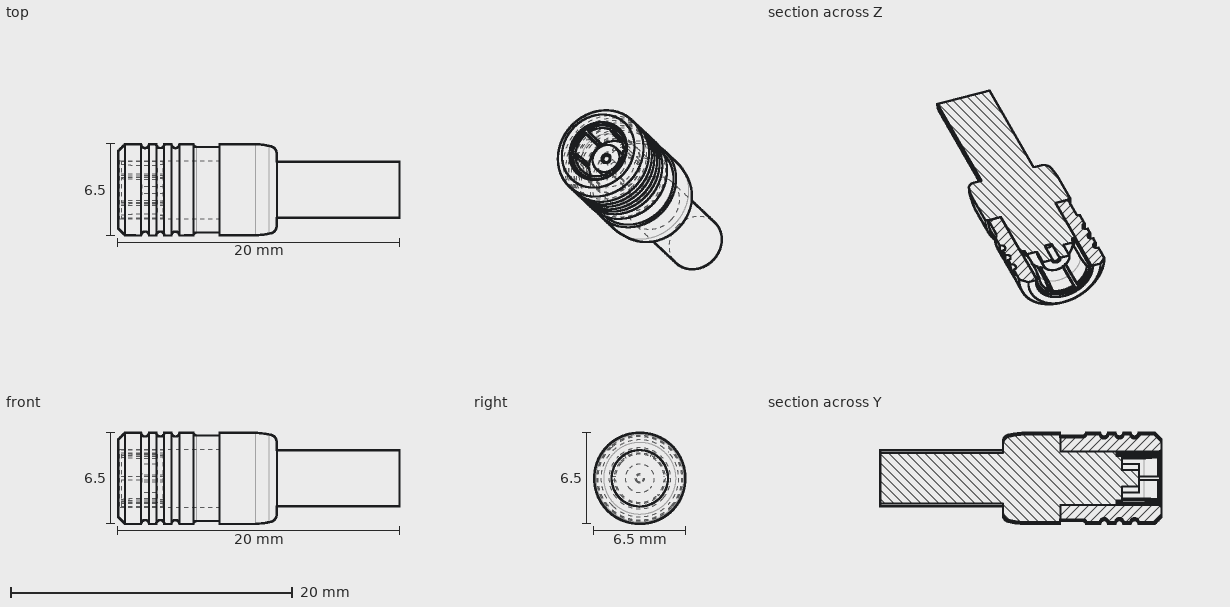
import cadquery as cq

TOTAL_LENGTH = 19.97
OUTER_RADIUS = 6.5 / 2

SLEEVE_LENGTH = 7.19
NOSE_CHAMFER = 0.5
MOUTH_RADIUS = 2.18
BORE_RADIUS = 4.11 / 2
MOUTH_CHAMFER = MOUTH_RADIUS - BORE_RADIUS
NECK_RADIUS = 6.1 / 2
NECK_START = 5.35
NECK_FILLET = OUTER_RADIUS - NECK_RADIUS
GROOVE_RADIUS = 0.28
GROOVE_COUNT = 3
FIRST_GROOVE_X = 1.92
GROOVE_PITCH = 1.08

FINGER_TIP_X = 0.24
FINGER_OUTER_RADIUS = 4.01 / 2
FINGER_TIP_RADIUS = 3.61 / 2
FINGER_BORE_RADIUS = 1.72
FINGER_TAPER_LENGTH = 1
SOCKET_FLOOR_X = 2.8
SLOT_WIDTH = 0.25
SLOT_COUNT = 6
SLOT_OVERRUN = 0.4
SLOT_END_X = SOCKET_FLOOR_X + SLOT_OVERRUN
BOSS_RADIUS = 2.04 / 2
BOSS_FACE_X = 1.6
CONTACT_HOLE_RADIUS = 0.5 / 2
COUNTERBORE_RADIUS = 0.65 / 2
COUNTERBORE_DEPTH = 0.1
CONTACT_HOLE_DEPTH = 1.6
COLLAR_END_X = 11.26
COLLAR_TAPER_X = 9.77
COLLAR_ROUND_X = 10.72
COLLAR_ROUND_RADIUS = 3.12
COLLAR_END_RADIUS = 2.55
TUBE_RADIUS = 4 / 2


def cylinder(start, end, radius):
    """Solid cylinder on the connector axis."""
    return cq.Workplane("YZ", origin=(start, 0, 0)).circle(radius).extrude(end - start)


def revolve_profile(profile):
    """Turn a closed (x, radius) outline about the connector axis."""
    return profile.close().revolve(360, (0, 0, 0), (1, 0, 0))


def make_sleeve():
    """Grip sleeve with a chamfered nose, rounded grooves and a reduced rear neck."""
    sleeve = revolve_profile(
        cq.Workplane("XY")
        .moveTo(0, MOUTH_RADIUS)
        .lineTo(0, OUTER_RADIUS - NOSE_CHAMFER)
        .lineTo(NOSE_CHAMFER, OUTER_RADIUS)
        .lineTo(NECK_START, OUTER_RADIUS)
        .radiusArc((NECK_START + NECK_FILLET, NECK_RADIUS), -NECK_FILLET)
        .lineTo(SLEEVE_LENGTH, NECK_RADIUS)
        .lineTo(SLEEVE_LENGTH, BORE_RADIUS)
        .lineTo(MOUTH_CHAMFER, BORE_RADIUS)
    )
    for index in range(GROOVE_COUNT):
        groove_x = FIRST_GROOVE_X + index * GROOVE_PITCH
        groove = cq.Solid.makeTorus(
            OUTER_RADIUS, GROOVE_RADIUS, cq.Vector(groove_x, 0, 0), cq.Vector(1, 0, 0)
        )
        sleeve = sleeve.cut(cq.Workplane(obj=groove))
    return sleeve


def make_collar():
    """Rear collar whose back edge curves in and rounds over to the end face."""
    taper_run = COLLAR_ROUND_X - COLLAR_TAPER_X
    taper_drop = OUTER_RADIUS - COLLAR_ROUND_RADIUS
    taper_arc_radius = (taper_run**2 + taper_drop**2) / (2 * taper_drop)
    end_arc_radius = COLLAR_ROUND_RADIUS - COLLAR_END_RADIUS
    return revolve_profile(
        cq.Workplane("XY")
        .moveTo(SLEEVE_LENGTH, 0)
        .lineTo(SLEEVE_LENGTH, OUTER_RADIUS)
        .lineTo(COLLAR_TAPER_X, OUTER_RADIUS)
        .radiusArc((COLLAR_ROUND_X, COLLAR_ROUND_RADIUS), taper_arc_radius)
        .radiusArc((COLLAR_END_X, COLLAR_END_RADIUS), end_arc_radius)
        .lineTo(COLLAR_END_X, 0)
    )


def make_fingers():
    """Tapered-bore tube that the slots divide into spring fingers."""
    return revolve_profile(
        cq.Workplane("XY")
        .moveTo(FINGER_TIP_X, FINGER_TIP_RADIUS)
        .lineTo(FINGER_TIP_X, FINGER_OUTER_RADIUS)
        .lineTo(SLOT_END_X, FINGER_OUTER_RADIUS)
        .lineTo(SLOT_END_X, FINGER_BORE_RADIUS)
        .lineTo(FINGER_TIP_X + FINGER_TAPER_LENGTH, FINGER_BORE_RADIUS)
    )


def make_slots():
    """Cutter for the slots, which run past the socket floor around its central disc."""
    slots = cq.Workplane("YZ", origin=(FINGER_TIP_X, 0, 0))
    for index in range(SLOT_COUNT // 2):
        slot = (
            cq.Workplane("YZ", origin=(FINGER_TIP_X, 0, 0))
            .rect(FINGER_OUTER_RADIUS * 2, SLOT_WIDTH)
            .extrude(SLOT_END_X - FINGER_TIP_X)
            .rotate((0, 0, 0), (1, 0, 0), index * 360 / SLOT_COUNT)
        )
        slots = slots.union(slot)
    floor_disc = cylinder(SOCKET_FLOOR_X, SLOT_END_X, FINGER_TIP_RADIUS)
    return slots.cut(floor_disc)


def make_contact_hole():
    """Cutter for the counterbored contact hole in the boss face."""
    counterbore = cylinder(BOSS_FACE_X, BOSS_FACE_X + COUNTERBORE_DEPTH, COUNTERBORE_RADIUS)
    hole = cylinder(BOSS_FACE_X, BOSS_FACE_X + CONTACT_HOLE_DEPTH, CONTACT_HOLE_RADIUS)
    return counterbore.union(hole)


def make_plug():
    """Plug core that fills the sleeve bore behind the slots and carries the cable tube."""
    floor = cylinder(SOCKET_FLOOR_X, SLOT_END_X, FINGER_OUTER_RADIUS)
    boss = cylinder(BOSS_FACE_X, SLOT_END_X, BOSS_RADIUS)
    core = cylinder(SLOT_END_X, SLEEVE_LENGTH, BORE_RADIUS)
    tube = cylinder(COLLAR_END_X, TOTAL_LENGTH, TUBE_RADIUS)
    plug = core.union(floor).union(make_fingers()).cut(make_slots())
    plug = plug.union(boss).union(make_collar()).union(tube)
    return plug.cut(make_contact_hole())


sleeve = make_sleeve()
plug = make_plug()
result = cq.Compound.makeCompound([sleeve.val(), plug.val()])